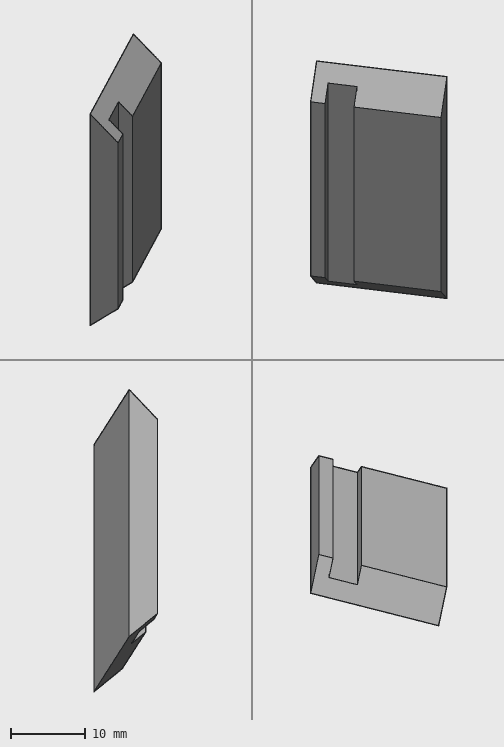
import cadquery as cq

length = 37.0
width = 18.0
thickness = 4.0
groove_width = 4.0
groove_depth = 2.0
lip_width = 2.0

mitre_rise = thickness


def mitred_strip():
    """Strip with its long face at X = 0 and both ends mitred."""
    outline = [
        (0, 0),
        (thickness, mitre_rise),
        (thickness, length - mitre_rise),
        (0, length),
    ]
    return cq.Workplane("XZ").polyline(outline).close().extrude(-width)


def groove():
    """Rectangular groove running the full length of the short face."""
    return (
        cq.Workplane("XY")
        .box(groove_depth, groove_width, length, centered=False)
        .translate((thickness - groove_depth, lip_width, 0))
    )


result = mitred_strip().cut(groove())